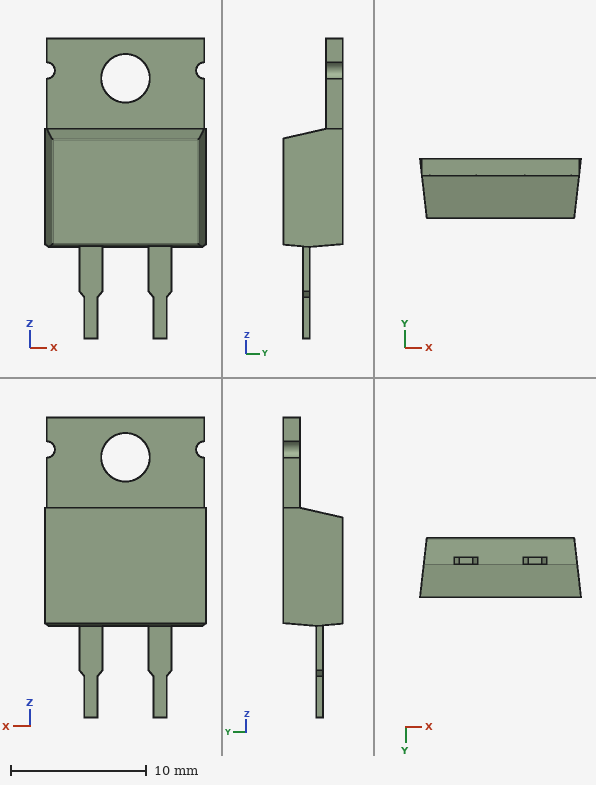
import cadquery as cq
import math

TOTAL_HEIGHT = 22.1
TOTAL_DEPTH = 4.4

TAB_WIDTH = 11.6
TAB_THICKNESS = 1.25
TAB_HEIGHT = 6.65
HOLE_DIAMETER = 3.55
HOLE_BELOW_TOP = 2.95
NOTCH_RADIUS = 0.6
NOTCH_BELOW_TOP = 2.37

HOUSING_BACK_WIDTH = 11.87
HOUSING_HEIGHT = 8.71
SIDE_DRAFT = 6.5
TOP_DRAFT = 12.8
BOTTOM_DRAFT = 4.9
FRONT_FILLET = 0.1

LEAD_PITCH = 5.09
LEAD_THICKNESS = 0.5
LEAD_WIDTH = 1.72
LEAD_TIP_WIDTH = 1.0
LEAD_TIP_LENGTH = 3.05
LEAD_SHOULDER_HEIGHT = 0.45
LEAD_BACK_Y = -2.43

HOUSING_TOP_Z = TOTAL_HEIGHT - TAB_HEIGHT
HOUSING_BOTTOM_Z = HOUSING_TOP_Z - HOUSING_HEIGHT
FRONT_Y = -TOTAL_DEPTH
BOTTOM_RIDGE_Y = LEAD_BACK_Y


def drop(run, draft_angle):
    """Offset of a drafted face over the given run, for a draft angle in degrees."""
    return run * math.tan(math.radians(draft_angle))


def make_tab():
    """Plate standing on the housing, with a screw hole and a round notch in each side edge."""
    tab = (
        cq.Workplane("XY")
        .box(TAB_WIDTH, TAB_THICKNESS, TAB_HEIGHT, centered=(True, False, False))
        .translate((0, -TAB_THICKNESS, HOUSING_TOP_Z))
    )
    hole = (
        cq.Workplane("XZ")
        .center(0, TOTAL_HEIGHT - HOLE_BELOW_TOP)
        .circle(HOLE_DIAMETER / 2)
        .extrude(TAB_THICKNESS)
    )
    notches = (
        cq.Workplane("XZ")
        .pushPoints([(side * TAB_WIDTH / 2, TOTAL_HEIGHT - NOTCH_BELOW_TOP) for side in (-1, 1)])
        .circle(NOTCH_RADIUS)
        .extrude(TAB_THICKNESS)
    )
    return tab.cut(hole).cut(notches)


def make_housing():
    """Block with drafted top, bottom and sides, and rounded edges around its front face."""
    top_front_z = HOUSING_TOP_Z - drop(TOTAL_DEPTH - TAB_THICKNESS, TOP_DRAFT)
    bottom_back_z = HOUSING_BOTTOM_Z + drop(-BOTTOM_RIDGE_Y, BOTTOM_DRAFT)
    bottom_front_z = HOUSING_BOTTOM_Z + drop(BOTTOM_RIDGE_Y - FRONT_Y, BOTTOM_DRAFT)
    side_profile = (
        cq.Workplane("YZ")
        .polyline([
            (0, HOUSING_TOP_Z),
            (-TAB_THICKNESS, HOUSING_TOP_Z),
            (FRONT_Y, top_front_z),
            (FRONT_Y, bottom_front_z),
            (BOTTOM_RIDGE_Y, HOUSING_BOTTOM_Z),
            (0, bottom_back_z),
        ])
        .close()
        .extrude(HOUSING_BACK_WIDTH / 2, both=True)
    )

    back_x = HOUSING_BACK_WIDTH / 2
    front_x = back_x - drop(TOTAL_DEPTH, SIDE_DRAFT)
    plan_profile = (
        cq.Workplane("XY", origin=(0, 0, HOUSING_BOTTOM_Z))
        .polyline([(-back_x, 0), (back_x, 0), (front_x, FRONT_Y), (-front_x, FRONT_Y)])
        .close()
        .extrude(HOUSING_HEIGHT)
    )
    return side_profile.intersect(plan_profile).faces("<Y").edges().fillet(FRONT_FILLET)


def make_lead(center_x, housing):
    """Flat lead that narrows to its tip through sloped shoulders, cut to fit the housing bottom."""
    half_width = LEAD_WIDTH / 2
    half_tip = LEAD_TIP_WIDTH / 2
    shoulder_z = LEAD_TIP_LENGTH + LEAD_SHOULDER_HEIGHT
    top_z = HOUSING_BOTTOM_Z + drop(LEAD_THICKNESS, BOTTOM_DRAFT)
    blank = (
        cq.Workplane("XZ", origin=(center_x, LEAD_BACK_Y, 0))
        .polyline([
            (-half_tip, 0),
            (half_tip, 0),
            (half_tip, LEAD_TIP_LENGTH),
            (half_width, shoulder_z),
            (half_width, top_z),
            (-half_width, top_z),
            (-half_width, shoulder_z),
            (-half_tip, LEAD_TIP_LENGTH),
        ])
        .close()
        .extrude(LEAD_THICKNESS)
    )
    return blank.cut(housing)


tab = make_tab()
housing = make_housing()
leads = [make_lead(side * LEAD_PITCH / 2, housing) for side in (-1, 1)]

result = cq.Compound.makeCompound([tab.val(), housing.val(), *[lead.val() for lead in leads]])